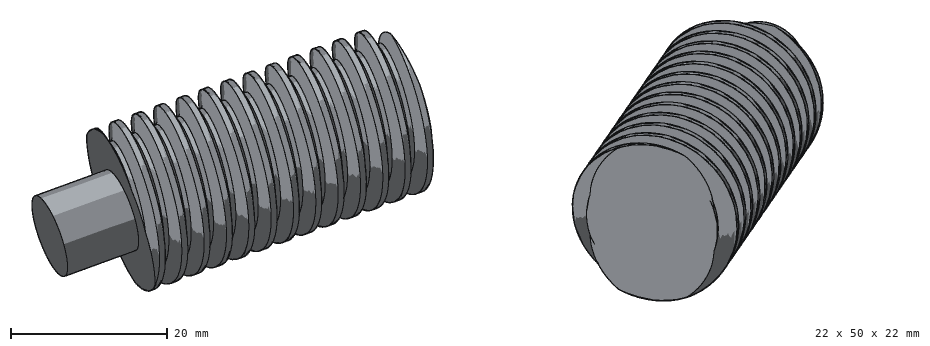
import cadquery as cq
import math

total_length = 50.0
worm_length = 40.0
shaft_length = total_length - worm_length

module = 1.0
thread_starts = 2
pressure_angle = math.radians(20)
tip_radius = 11.0
pitch_radius = tip_radius - module
root_radius = pitch_radius - 1.25 * module
shaft_radius = tip_radius / 2

axial_pitch = math.pi * module
lead = thread_starts * axial_pitch
flank_run = (tip_radius - root_radius) * math.tan(pressure_angle)
crest_width = axial_pitch / 2 - 2 * module * math.tan(pressure_angle)

rear_crest_offset = axial_pitch / 2
flank_points = 5

front_y = -worm_length / 2


def turn_for(axial_length):
    """Angle in radians that the thread turns over an axial length."""
    return 2 * math.pi * axial_length / lead


def polar(radius, angle):
    return (radius * math.cos(angle), radius * math.sin(angle))


def flank(start_radius, end_radius, start_angle):
    """Spiral points: a straight axial flank gives a linear radius in cross-section."""
    fractions = [i / (flank_points - 1) for i in range(flank_points)]
    return [
        polar(start_radius + f * (end_radius - start_radius), start_angle + f * turn_for(flank_run))
        for f in fractions
    ]


def worm_section(front_crest_angle):
    """Cross-section at the front end, with one crest centred on the given angle."""
    half_crest = turn_for(crest_width) / 2
    flank_turn = turn_for(flank_run)
    start_step = 2 * math.pi / thread_starts
    first_angle = front_crest_angle - half_crest - flank_turn
    section = cq.Workplane("XZ", origin=(0, front_y, 0)).moveTo(*polar(root_radius, first_angle))
    for i in range(thread_starts):
        crest = front_crest_angle + i * start_step
        rising = flank(root_radius, tip_radius, crest - half_crest - flank_turn)
        falling = flank(tip_radius, root_radius, crest + half_crest)
        next_root = crest + start_step
        section = section.spline(rising[1:], includeCurrent=True)
        section = section.threePointArc(polar(tip_radius, crest), falling[0])
        section = section.spline(falling[1:], includeCurrent=True)
        section = section.threePointArc(
            polar(root_radius, crest + start_step / 2),
            polar(root_radius, next_root - half_crest - flank_turn),
        )
    return section.close()


def make_worm():
    crest_angle = -turn_for(worm_length - rear_crest_offset)
    twist = -math.degrees(turn_for(worm_length))
    return worm_section(crest_angle).twistExtrude(-worm_length, twist)


def make_shaft():
    """Plain shaft end standing on the front face of the worm."""
    return cq.Workplane("XZ", origin=(0, front_y, 0)).circle(shaft_radius).extrude(shaft_length)


worm = make_worm()
shaft = make_shaft()
result = cq.Compound.makeCompound([worm.val(), shaft.val()])